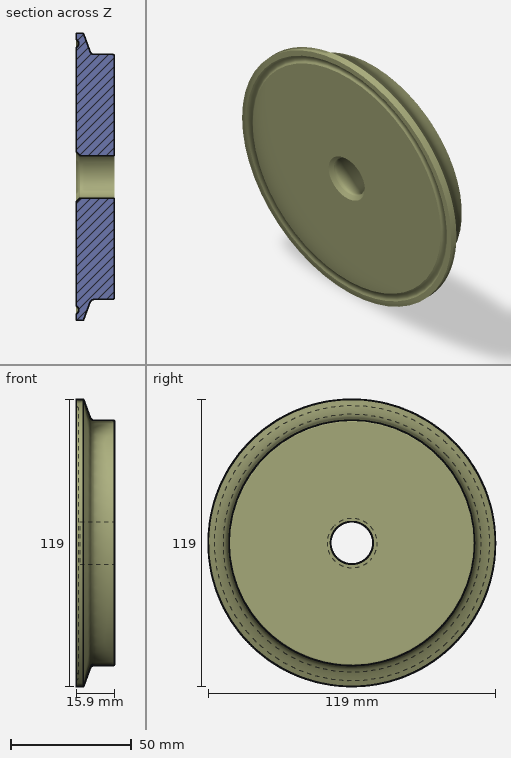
import cadquery as cq
import math

overall_length = 15.9
flange_radius = 59.5
body_radius = 101.5 / 2
rim_width = 2.9
rim_round = 0.4
cone_angle = math.radians(20)
neck_fillet = 1.5
end_round = 0.7

groove_radius = 55.2
groove_width = 3.6
groove_floor_width = 2.1
groove_wall_angle = math.radians(40)

bore_diameter = 17.5
bore_chamfer = 1.5


def make_body():
    """Solid flange with a conical back that runs into the cylindrical body."""
    sin_cone = math.sin(cone_angle)
    cos_cone = math.cos(cone_angle)
    rim_corner_x = rim_width + rim_round * (1 - sin_cone) / cos_cone
    cone_length = (flange_radius - body_radius) * math.tan(cone_angle)
    neck_corner_x = rim_corner_x + cone_length

    body = (
        cq.Workplane("XY")
        .polyline([
            (0, 0),
            (0, flange_radius),
            (rim_corner_x, flange_radius),
            (neck_corner_x, body_radius),
            (overall_length, body_radius),
            (overall_length, 0),
        ])
        .close()
        .revolve(360, (0, 0, 0), (1, 0, 0))
    )

    def circle_at(x, radius):
        """Select the circular edge at this place on the axis."""
        margin = 0.1
        reach = radius + margin
        return cq.selectors.BoxSelector(
            (x - margin, -reach, -reach),
            (x + margin, reach, reach),
            boundingbox=True,
        )

    body = body.edges(circle_at(rim_corner_x, flange_radius)).fillet(rim_round)
    body = body.edges(circle_at(neck_corner_x, body_radius)).fillet(neck_fillet)
    return body.edges(circle_at(overall_length, body_radius)).fillet(end_round)


def make_groove():
    """Ring with straight sloping walls that run tangent into an arc floor."""
    half_width = groove_width / 2
    floor_half_width = groove_floor_width / 2
    wall_depth = (half_width - floor_half_width) * math.tan(groove_wall_angle)
    floor_depth = wall_depth + floor_half_width * math.tan(groove_wall_angle / 2)

    return (
        cq.Workplane("XY")
        .moveTo(0, groove_radius - half_width)
        .lineTo(wall_depth, groove_radius - floor_half_width)
        .threePointArc(
            (floor_depth, groove_radius),
            (wall_depth, groove_radius + floor_half_width),
        )
        .lineTo(0, groove_radius + half_width)
        .close()
        .revolve(360, (0, 0, 0), (1, 0, 0))
    )


def make_bore():
    """Through hole with a 45 degree chamfer at the flange face."""
    bore_radius = bore_diameter / 2
    return (
        cq.Workplane("XY")
        .polyline([
            (0, 0),
            (0, bore_radius + bore_chamfer),
            (bore_chamfer, bore_radius),
            (overall_length, bore_radius),
            (overall_length, 0),
        ])
        .close()
        .revolve(360, (0, 0, 0), (1, 0, 0))
    )


result = make_body().cut(make_groove()).cut(make_bore())